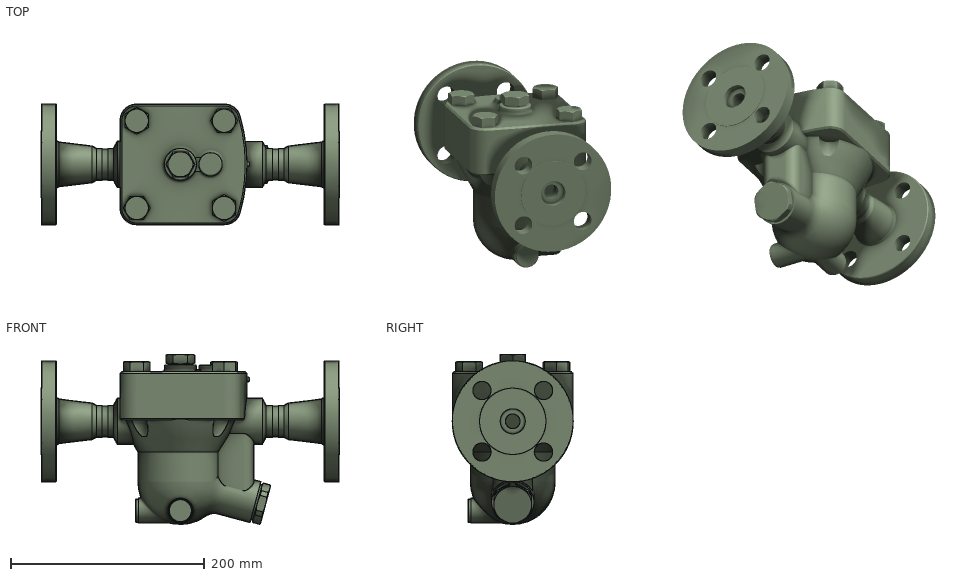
import cadquery as cq
import math


inlet_face_x = -144.3
outlet_face_x = 164.7
flange_dia = 125.0
flange_thickness = 15.5
flange_edge = 1.0
raised_face_dia = 68.5
raised_face_height = 1.0
bolt_hole_dia = 19.0
bolt_hole_pitch = 63.5
bore_dia = 26.0
bore_depth = 7.7
inner_bore_dia = 15.0
inner_bore_depth = 24.7
neck_root_dia = 49.0
neck_big_dia = 46.5
neck_root_length = 2.5
neck_small_dia = 38.0
neck_end = 53.0
pipe_dia = 33.0
pipe_start = 57.5
socket_dia = 48.0
socket_cone_length = 4.0
inlet_pipe_end = 75.0
outlet_pipe_end = 76.0
weld_groove_dia = 32.0
weld_groove_offset = 5.5
weld_groove_width = 6.5

cover_half = 62.5
cover_top = 51.3
cover_split_z = 29.5
rim_bottom = 1.2
bulge_top_x = 69.0
bulge_bottom_x = 67.7
cover_bolt_offset = 45.0
corner_radius = cover_half - cover_bolt_offset
rim_edge = 2.0
cover_bolt_flats = 24.0
cover_bolt_head = 10.5
cover_bolt_relief_dia = 23.0
cover_bolt_relief_depth = 17.0

plug_boss_dia = 33.0
plug_boss_height = 7.0
side_boss_x = 31.2
side_boss_dia = 24.0
side_boss_height = 6.8
boss_foot = 3.0
boss_edge = 1.5
web_width = 14.2
web_height = 2.2
plug_neck_dia = 25.0
plug_gap = 1.0
plug_flats = 26.0
plug_top = 69.2
stud_radius = 2.8
stud_z = 43.3

bowl_radius = 44.0
bowl_top = -31.8
dome_z = -62.7
shoulder_radius = 51.0
shoulder_z = -19.2
flare_radius = 62.0
flare_mid_radius = 56.5
flare_mid_z = -9.0

block_end_x = 76.0
block_half_width = 20.5
block_corner = 11.5
block_bottom = -77.2
strainer_tilt = 15.0
strainer_radius = 22.0
strainer_length = 80.3
strainer_blend = 16.0
gasket_dia = 38.0
gasket_thickness = 2.2
cap_flats = 39.2
cap_corner_dia = 42.3
cap_head = 8.5

drain_z = -92.5
drain_dia = 26.0
drain_length = 43.3
drain_plug_dia = 24.0
drain_plug_end = 46.5
drain_edge = 0.5
drain_fillet = 1.5


def across_corners(flats):
    return flats / math.cos(math.radians(30))


def hex_head(flats, height, corner_dia, bevelled_faces, turn=0):
    """Hexagon head on z = 0, its corners trimmed to a bevelled round of corner_dia."""
    bevel = (corner_dia - flats) / 2
    head = cq.Workplane("XY").polygon(6, across_corners(flats)).extrude(height)
    head = head.rotate((0, 0, 0), (0, 0, 1), turn)
    trim = cq.Workplane("XY").circle(corner_dia / 2).extrude(height)
    return head.intersect(trim.faces(bevelled_faces).chamfer(bevel / 2, bevel))


def pipe_arm(pipe_end, reach):
    """Flanged arm along +X: raised face at x = 0, socket running to x = reach."""
    flange_back = raised_face_height + flange_thickness
    groove = pipe_start + weld_groove_offset
    profile = [
        (0, 0),
        (0, raised_face_dia / 2),
        (raised_face_height, raised_face_dia / 2),
        (raised_face_height, flange_dia / 2),
        (flange_back - flange_edge, flange_dia / 2),
        (flange_back, flange_dia / 2 - flange_edge),
        (flange_back, neck_root_dia / 2),
        (flange_back + neck_root_length, neck_big_dia / 2),
        (neck_end, neck_small_dia / 2),
        (pipe_start, pipe_dia / 2),
        (groove, pipe_dia / 2),
        (groove, weld_groove_dia / 2),
        (groove + weld_groove_width, weld_groove_dia / 2),
        (groove + weld_groove_width, pipe_dia / 2),
        (pipe_end, pipe_dia / 2),
        (pipe_end + socket_cone_length, socket_dia / 2),
        (reach, socket_dia / 2),
        (reach, 0),
    ]
    arm = cq.Workplane("XY").polyline(profile).close().revolve(360, (0, 0, 0), (1, 0, 0))
    face = cq.Workplane("YZ")
    holes = face.rect(bolt_hole_pitch, bolt_hole_pitch, forConstruction=True).vertices()
    arm = arm.cut(holes.circle(bolt_hole_dia / 2).extrude(flange_back))
    arm = arm.cut(face.circle(bore_dia / 2).extrude(bore_depth))
    return arm.cut(face.circle(inner_bore_dia / 2).extrude(inner_bore_depth))


def cover_outline(plane, bulge_x):
    """Rounded square whose +X side bulges out as one shallow arc tangent to the corners."""
    bolt = cover_bolt_offset
    gap = bulge_x - bolt
    bulge_radius = (gap**2 + bolt**2 - corner_radius**2) / (2 * (gap - corner_radius))
    center_x = bulge_x - bulge_radius
    angle = math.atan2(bolt, bolt - center_x)
    join_x = bolt + corner_radius * math.cos(angle)
    join_y = bolt + corner_radius * math.sin(angle)
    middle = (angle + math.pi / 2) / 2
    corner_x = bolt + corner_radius * math.cos(middle)
    corner_y = bolt + corner_radius * math.sin(middle)
    left_corner = bolt + corner_radius * math.sqrt(0.5)
    return (
        plane.moveTo(-bolt, -cover_half)
        .lineTo(bolt, -cover_half)
        .threePointArc((corner_x, -corner_y), (join_x, -join_y))
        .threePointArc((bulge_x, 0), (join_x, join_y))
        .threePointArc((corner_x, corner_y), (bolt, cover_half))
        .lineTo(-bolt, cover_half)
        .threePointArc((-left_corner, left_corner), (-cover_half, bolt))
        .lineTo(-cover_half, -bolt)
        .threePointArc((-left_corner, -left_corner), (-bolt, -cover_half))
        .close()
    )


def cover_block():
    """Straight cover on a rim whose bulge leans inwards towards the bottom."""
    split = cq.Workplane("XY").workplane(offset=cover_split_z)
    cover = cover_outline(split, bulge_top_x).extrude(cover_top - cover_split_z)
    cover = cover.faces(">Z").chamfer(rim_edge)
    bottom = cover_outline(cq.Workplane("XY").workplane(offset=rim_bottom), bulge_bottom_x)
    rim = cover_outline(bottom.workplane(offset=cover_split_z - rim_bottom), bulge_top_x).loft(ruled=True)
    return cover.union(rim.faces("<Z").chamfer(rim_edge))


def cover_boss(x, diameter, height):
    """Round boss with a concave foot on the cover and a rounded top edge."""
    radius = diameter / 2
    inset = boss_foot * (1 - math.sqrt(0.5))
    edge_inset = boss_edge * (1 - math.sqrt(0.5))
    return (
        cq.Workplane("XZ")
        .moveTo(0, 0)
        .lineTo(radius + boss_foot, 0)
        .threePointArc((radius + inset, inset), (radius, boss_foot))
        .lineTo(radius, height - boss_edge)
        .threePointArc((radius - edge_inset, height - edge_inset), (radius - boss_edge, height))
        .lineTo(0, height)
        .close()
        .revolve(360, (0, 0, 0), (0, 1, 0))
        .translate((x, 0, cover_top))
    )


def cover_fittings():
    parts = cover_boss(0, plug_boss_dia, plug_boss_height)
    parts = parts.union(cover_boss(side_boss_x, side_boss_dia, side_boss_height))
    web = cq.Workplane("XY").box(side_boss_x, web_width, web_height, centered=(False, True, False))
    parts = parts.union(web.translate((0, 0, cover_top)))

    boss_top = cover_top + plug_boss_height
    plug_neck = cq.Workplane("XY").workplane(offset=boss_top).circle(plug_neck_dia / 2).extrude(plug_gap)
    head_z = boss_top + plug_gap
    plug_head = hex_head(plug_flats, plug_top - head_z, across_corners(plug_flats), "|Z")
    plug_head = plug_head.translate((0, 0, head_z))
    parts = parts.union(plug_neck).union(plug_head)

    bolt_corners = across_corners(cover_bolt_flats)
    for x_side in (-1, 1):
        for y_side in (-1, 1):
            turn = 0 if x_side == y_side else 30
            head = hex_head(cover_bolt_flats, cover_bolt_head, bolt_corners, ">Z", turn)
            place = (x_side * cover_bolt_offset, y_side * cover_bolt_offset, cover_top)
            parts = parts.union(head.translate(place))

    stud = cq.Workplane("XY").sphere(stud_radius).translate((bulge_top_x, 0, stud_z))
    return parts.union(stud)


def bowl():
    """Cylinder with a domed end below and a flared collar above."""
    dome_mid = bowl_radius * math.sqrt(0.5)
    body = (
        cq.Workplane("XZ")
        .moveTo(0, dome_z - bowl_radius)
        .threePointArc((dome_mid, dome_z - dome_mid), (bowl_radius, dome_z))
        .lineTo(bowl_radius, bowl_top)
        .lineTo(shoulder_radius, shoulder_z)
        .threePointArc((flare_mid_radius, flare_mid_z), (flare_radius, rim_bottom + rim_edge))
        .lineTo(0, rim_bottom + rim_edge)
        .close()
        .revolve(360, (0, 0, 0), (0, 1, 0))
    )
    bolt_pitch = 2 * cover_bolt_offset
    reliefs = (
        cq.Workplane("XY")
        .workplane(offset=rim_bottom)
        .rect(bolt_pitch, bolt_pitch, forConstruction=True)
        .vertices()
        .circle(cover_bolt_relief_dia / 2)
        .extrude(-cover_bolt_relief_depth)
    )
    return body.cut(reliefs)


def passage_block():
    block = cq.Workplane("XY").box(
        block_end_x, 2 * block_half_width, -block_bottom, centered=(False, True, False)
    )
    block = block.edges("|Z and >X").fillet(block_corner)
    return block.translate((0, 0, block_bottom))


def strainer():
    """Boss and hexagon cap on an axis through the dome centre, tilted below +X."""
    blend_start = math.sqrt((bowl_radius + strainer_blend) ** 2 - (strainer_radius + strainer_blend) ** 2)
    blend_center_r = strainer_radius + strainer_blend
    angle = math.atan2(blend_center_r, blend_start)
    dome_point = (bowl_radius * math.cos(angle), bowl_radius * math.sin(angle))
    middle = (angle + math.pi / 2) / 2
    blend_mid = (
        blend_start - strainer_blend * math.cos(middle),
        blend_center_r - strainer_blend * math.sin(middle),
    )
    boss = (
        cq.Workplane("XY")
        .lineTo(*dome_point)
        .threePointArc(blend_mid, (blend_start, strainer_radius))
        .lineTo(strainer_length, strainer_radius)
        .lineTo(strainer_length, 0)
        .close()
        .revolve(360, (0, 0, 0), (1, 0, 0))
    )
    boss_end = cq.Workplane("YZ").workplane(offset=strainer_length)
    gasket = boss_end.circle(gasket_dia / 2).extrude(gasket_thickness)
    cap = hex_head(cap_flats, cap_head, cap_corner_dia, "|Z").rotate((0, 0, 0), (0, 1, 0), 90)
    cap = cap.translate((strainer_length + gasket_thickness, 0, 0))
    tilted = boss.union(gasket).union(cap).rotate((0, 0, 0), (0, 1, 0), strainer_tilt)
    return tilted.translate((0, 0, dome_z))


def drain():
    """Drain boss and its plug pointing to -Y."""
    boss = cq.Workplane("XZ").circle(drain_dia / 2).extrude(drain_length)
    plug = cq.Workplane("XZ").circle(drain_plug_dia / 2).extrude(drain_plug_end)
    plug = plug.faces("<Y").chamfer(drain_edge)
    return boss.union(plug).translate((0, 0, drain_z))


def bowl_with_side_drain():
    """Bowl with the -X drain filleted into its dome."""
    body = bowl().union(drain().rotate((0, 0, 0), (0, 0, 1), -90))
    span = drain_dia / 2 + drain_edge
    joint = cq.selectors.BoxSelector(
        (-drain_length + drain_edge, -span, drain_z - span),
        (0, span, drain_z + span),
        boundingbox=True,
    )
    return body.edges(joint).fillet(drain_fillet)


inlet = pipe_arm(inlet_pipe_end, -inlet_face_x).translate((inlet_face_x, 0, 0))
outlet = pipe_arm(outlet_pipe_end, outlet_face_x)
outlet = outlet.rotate((0, 0, 0), (0, 0, 1), 180).translate((outlet_face_x, 0, 0))

result = bowl_with_side_drain().union(drain())
result = result.union(passage_block()).union(strainer())
result = result.union(cover_block()).union(cover_fittings())
result = result.union(inlet).union(outlet)